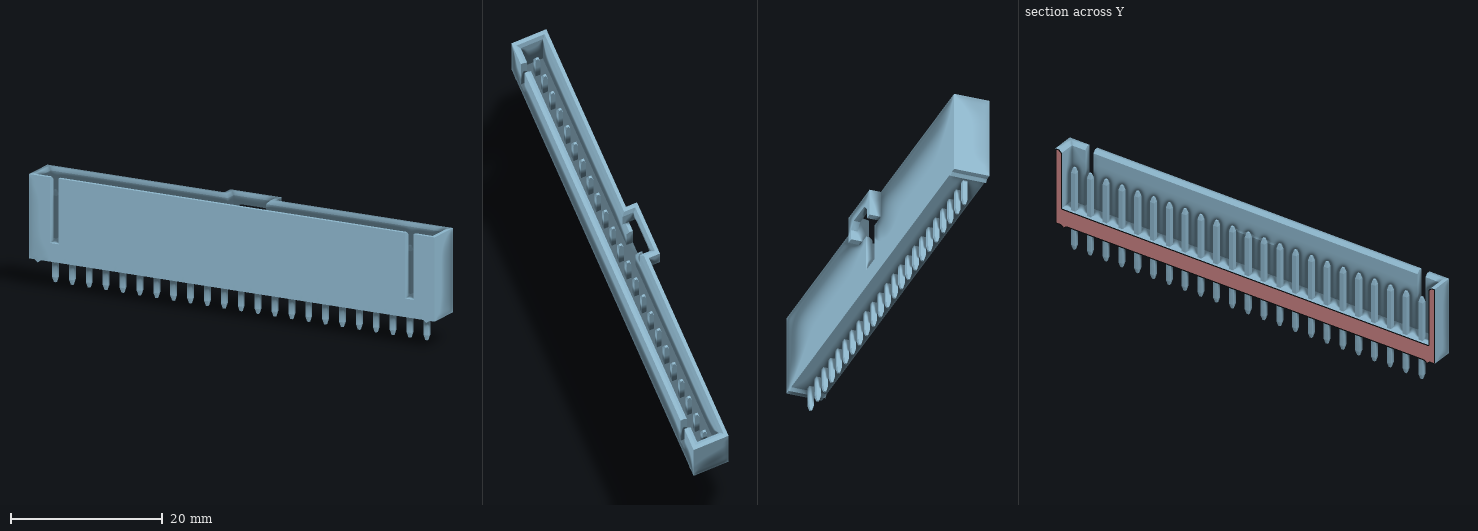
import cadquery as cq

length = 60.95
depth = 5.0
height = 11.6
wall = 0.9
end_wall = 1.0
lead_in = 0.4
floor = 2.55

slot_width = 1.3
slot_spacing = 53.4

loop_width = 7.7
loop_reach = 1.6
loop_height = 3.85
loop_bottom = height - loop_height
loop_inner = loop_width - 2 * end_wall
loop_bar_height = 1.5
loop_gusset = 0.9
notch_width = 3.05

ridge_width = 0.9
ridge_height = 0.35
ridge_inset = 1.3

pin_count = 23
pin_span = 55.85
pitch = pin_span / (pin_count - 1)
pin_size = 0.7
pin_y = 2.55
pin_drop = 3.55
pin_top = 9.15
tip_height = 0.75
tip_size = 0.3


def block(x_size, y_min, y_max, z_min, z_max, x=0):
    """Box centred on x, given by its limits in Y and Z."""
    return (
        cq.Workplane("XY")
        .box(x_size, y_max - y_min, z_max - z_min, centered=(True, False, False))
        .translate((x, y_min, z_min))
    )


def flared_pocket(x_size, y_min, y_max, z_min, z_max=height):
    """Pocket cutter from z_min to z_max, widened at its mouth by the lead-in chamfer."""
    pocket = block(x_size, y_min, y_max, z_min, z_max)
    mouth = (
        cq.Workplane("XY", origin=(0, (y_min + y_max) / 2, z_max))
        .rect(x_size + 2 * lead_in, y_max - y_min + 2 * lead_in)
        .workplane(offset=-lead_in)
        .rect(x_size, y_max - y_min)
        .loft(ruled=True)
    )
    return pocket.union(mouth)


def make_loop_window():
    """Opening below the outer bar of the loop, with sloped upper corners."""
    window_height = loop_height - loop_bar_height
    return (
        block(loop_inner, depth, depth + loop_reach, loop_bottom, loop_bottom + window_height)
        .edges("|Y and >Z")
        .chamfer(loop_gusset)
    )


def make_housing():
    body = block(length, 0, depth, 0, height)
    loop = block(loop_width, depth - wall, depth + loop_reach, loop_bottom, height)
    body = body.union(loop)

    body = body.cut(flared_pocket(length - 2 * end_wall, wall, depth - wall, floor))
    loop_inside = flared_pocket(loop_inner, depth - 2 * wall, depth + loop_reach - wall, loop_bottom)
    body = body.cut(loop_inside)
    body = body.cut(flared_pocket(loop_inner, wall, depth - wall, floor, loop_bottom))
    body = body.cut(make_loop_window())
    body = body.cut(block(notch_width, depth - 2 * wall, depth, floor, height))

    for side in (-1, 1):
        body = body.cut(block(slot_width, 0, 2 * wall, floor, height, side * slot_spacing / 2))
    return body


def make_ridge(x):
    """Triangular ridge running the full depth of the underside."""
    half = ridge_width / 2
    return (
        cq.Workplane("XZ", origin=(x, 0, 0))
        .polyline([(-half, 0), (half, 0), (0, -ridge_height)])
        .close()
        .extrude(-depth)
    )


def make_tip(x, z, direction):
    """Tapered pin end, pointing up for direction 1 and down for -1."""
    return (
        cq.Workplane("XY", origin=(x, pin_y, z))
        .rect(pin_size, pin_size)
        .workplane(offset=direction * tip_height)
        .rect(tip_size, tip_size)
        .loft(ruled=True)
    )


def make_pin(x):
    bottom = -pin_drop + tip_height
    top = pin_top - tip_height
    half = pin_size / 2
    shank = block(pin_size, pin_y - half, pin_y + half, bottom, top, x)
    return shank.union(make_tip(x, bottom, -1)).union(make_tip(x, top, 1))


result = make_housing()
for side in (-1, 1):
    result = result.union(make_ridge(side * (length / 2 - ridge_inset)))
for index in range(pin_count):
    result = result.union(make_pin(index * pitch - pin_span / 2))